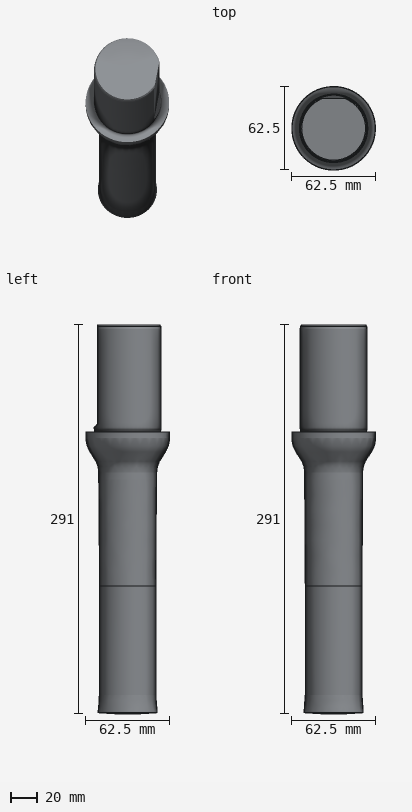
import cadquery as cq

total_height = 291.0
flange_top = 211.0
flange_bottom = 206.3
flare_bottom = 180.5
neck_bottom = 175.2
joint_height = 95.5
rim_flare_top = 14.0
rim_top = 1.7
rim_bottom = 1.0

shank_diameter = 50.0
undercut_inner_diameter = 49.5
undercut_outer_diameter = 51.2
flange_diameter = 62.5
neck_diameter = 43.5
tube_diameter = 42.5
rim_diameter = 44.2
tip_diameter = 17.5

top_diameter = 47.7
top_edge_diameter = 49.5
top_chamfer_height = 1.2
top_taper_height = 2.0
undercut_depth = 1.0
undercut_rise = 1.2
flat_offset = 22.5
flat_end_height = 214.2


def revolve_profile(profile):
    """Close a radius-height profile and turn it about the Z axis."""
    return profile.close().revolve(360, (0, 0, 0), (0, 1, 0))


def make_holder():
    """Shank, undercut, flange, flare and a neck that tapers slightly down to the joint."""
    shank_radius = shank_diameter / 2
    undercut_inner_radius = undercut_inner_diameter / 2
    top_edge_height = total_height - top_chamfer_height
    profile = (
        cq.Workplane("XZ")
        .moveTo(0, joint_height)
        .lineTo(tube_diameter / 2, joint_height)
        .lineTo(neck_diameter / 2, neck_bottom)
        .lineTo(neck_diameter / 2, flare_bottom)
        .spline(
            [(flange_diameter / 2, flange_bottom)],
            tangents=[(0, 1), (0, 1)],
            includeCurrent=True,
        )
        .lineTo(flange_diameter / 2, flange_top)
        .lineTo(undercut_outer_diameter / 2, flange_top)
        .lineTo(undercut_inner_radius, flange_top - undercut_depth)
        .lineTo(undercut_inner_radius, flange_top + undercut_rise)
        .lineTo(shank_radius, flange_top + 2 * undercut_rise)
        .lineTo(shank_radius, top_edge_height - top_taper_height)
        .lineTo(top_edge_diameter / 2, top_edge_height)
        .lineTo(top_diameter / 2, total_height)
        .lineTo(0, total_height)
    )
    return revolve_profile(profile).cut(make_flat_cutter())


def make_flat_cutter():
    """Flat on the +Y side of the shank, running out at 45 degrees near the flange."""
    cut_depth = shank_diameter / 2 - flat_offset
    return (
        cq.Workplane("YZ")
        .moveTo(flat_offset, total_height)
        .lineTo(flat_offset, flat_end_height + cut_depth)
        .lineTo(flat_offset + cut_depth, flat_end_height)
        .lineTo(flat_offset + cut_depth, total_height)
        .close()
        .extrude(shank_diameter / 2, both=True)
    )


def make_tube():
    """Lower cylinder with a flared rim and a shallow conical end."""
    profile = (
        cq.Workplane("XZ")
        .moveTo(0, 0)
        .lineTo(tip_diameter / 2, 0)
        .lineTo(rim_diameter / 2, rim_bottom)
        .lineTo(rim_diameter / 2, rim_top)
        .lineTo(tube_diameter / 2, rim_flare_top)
        .lineTo(tube_diameter / 2, joint_height)
        .lineTo(0, joint_height)
    )
    return revolve_profile(profile)


holder = make_holder()
tube = make_tube()
result = cq.Compound.makeCompound([holder.val(), tube.val()])